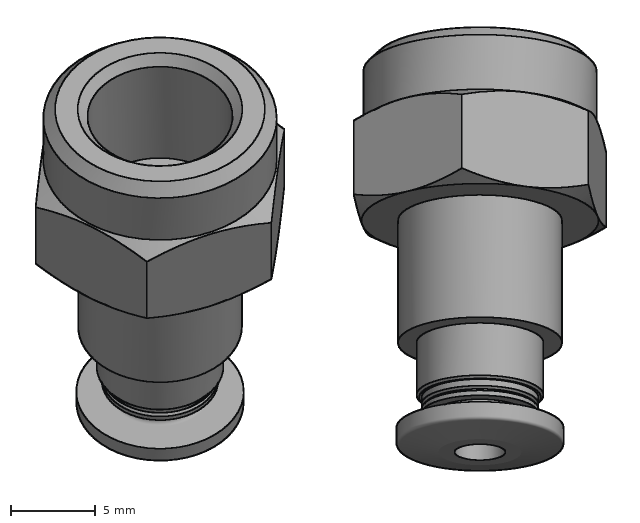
import cadquery as cq
import math

total_height = 24.4
hex_top = 20.3
hex_bottom = 14.4
body_bottom = 6.8
neck_bottom = 3.55
upper_ring_bottom = 3.0
lower_ring_top = 2.7
lower_ring_bottom = 2.4
head_top = 1.5

hex_sides = 6
hex_across_flats = 14.0
collar_diameter = 13.8
body_diameter = 9.7
neck_diameter = 7.5
ring_diameter = 6.9
stem_diameter = 5.4
head_diameter = 9.9
head_face_diameter = 4.9

collar_chamfer = 0.7
neck_chamfer = 0.15
stem_fillet = 0.3
head_edge_fillet = 0.2
head_cone_angle = math.radians(10)
hex_chamfer_angle = math.radians(30)

socket_diameter = 8.57
socket_mouth_diameter = 9.73
socket_depth = 8.0
passage_diameter = 3.0
passage_mouth_diameter = 4.0


def revolve_outline(outline):
    """Turn a closed radius-height outline about the Z axis."""
    return outline.close().revolve(360, (0, 0, 0), (0, 1, 0))


def make_collar():
    height = total_height - hex_top
    collar = cq.Workplane("XY").workplane(offset=hex_top).circle(collar_diameter / 2).extrude(height)
    return collar.faces(">Z").chamfer(collar_chamfer)


def make_hexagon():
    """Hexagon with corners on X, its corners bevelled by a cone at each end."""
    flat_radius = hex_across_flats / 2
    corner_radius = flat_radius / math.cos(math.pi / hex_sides)
    top_radius = collar_diameter / 2
    bottom_radius = flat_radius
    top_drop = (corner_radius - top_radius) * math.tan(hex_chamfer_angle)
    bottom_rise = (corner_radius - bottom_radius) * math.tan(hex_chamfer_angle)

    prism = (
        cq.Workplane("XY")
        .workplane(offset=hex_bottom)
        .polygon(hex_sides, 2 * corner_radius)
        .extrude(hex_top - hex_bottom)
    )
    envelope = revolve_outline(
        cq.Workplane("XZ")
        .moveTo(0, hex_bottom)
        .lineTo(bottom_radius, hex_bottom)
        .lineTo(corner_radius, hex_bottom + bottom_rise)
        .lineTo(corner_radius, hex_top - top_drop)
        .lineTo(top_radius, hex_top)
        .lineTo(0, hex_top)
    )
    return prism.intersect(envelope)


def make_body():
    return (
        cq.Workplane("XY")
        .workplane(offset=body_bottom)
        .circle(body_diameter / 2)
        .extrude(hex_bottom - body_bottom)
    )


def make_neck():
    """Bevelled neck, two thin rings with a 45 degree V-groove between them, and the slimmer stem."""
    neck_radius = neck_diameter / 2
    ring_radius = ring_diameter / 2
    groove_depth = (upper_ring_bottom - lower_ring_top) / 2
    groove_height = (upper_ring_bottom + lower_ring_top) / 2
    stem_radius = stem_diameter / 2
    arc_middle = stem_fillet * (1 - math.sqrt(0.5))

    return revolve_outline(
        cq.Workplane("XZ")
        .moveTo(0, body_bottom)
        .lineTo(neck_radius, body_bottom)
        .lineTo(neck_radius, neck_bottom)
        .lineTo(neck_radius - neck_chamfer, neck_bottom - neck_chamfer)
        .lineTo(ring_radius, neck_bottom - neck_chamfer)
        .lineTo(ring_radius, upper_ring_bottom)
        .lineTo(ring_radius - groove_depth, groove_height)
        .lineTo(ring_radius, lower_ring_top)
        .lineTo(ring_radius, lower_ring_bottom)
        .lineTo(stem_radius, lower_ring_bottom)
        .lineTo(stem_radius, head_top + stem_fillet)
        .threePointArc(
            (stem_radius + arc_middle, head_top + arc_middle),
            (stem_radius + stem_fillet, head_top),
        )
        .lineTo(0, head_top)
    )


def make_head():
    """Flat round head with a shallow conical underside and a rounded lower edge."""
    head_radius = head_diameter / 2
    face_radius = head_face_diameter / 2
    cone_height = (head_radius - face_radius) * math.tan(head_cone_angle)

    arc_sweep = math.pi / 2 - head_cone_angle
    arc_center_radius = head_radius - head_edge_fillet
    arc_center_height = cone_height + head_edge_fillet * math.tan(arc_sweep / 2)

    def arc_point(angle_below_side):
        return (
            arc_center_radius + head_edge_fillet * math.cos(angle_below_side),
            arc_center_height - head_edge_fillet * math.sin(angle_below_side),
        )

    return revolve_outline(
        cq.Workplane("XZ")
        .lineTo(face_radius, 0)
        .lineTo(*arc_point(arc_sweep))
        .threePointArc(arc_point(arc_sweep / 2), arc_point(0))
        .lineTo(head_radius, head_top)
        .lineTo(0, head_top)
    )


def make_bore():
    """Socket open at the top, leading to a countersunk passage through the part."""
    socket_radius = socket_diameter / 2
    socket_mouth_radius = socket_mouth_diameter / 2
    passage_radius = passage_diameter / 2
    passage_mouth_radius = passage_mouth_diameter / 2
    socket_floor = total_height - socket_depth

    return revolve_outline(
        cq.Workplane("XZ")
        .lineTo(passage_radius, 0)
        .lineTo(passage_radius, socket_floor - (passage_mouth_radius - passage_radius))
        .lineTo(passage_mouth_radius, socket_floor)
        .lineTo(socket_radius, socket_floor)
        .lineTo(socket_radius, total_height - (socket_mouth_radius - socket_radius))
        .lineTo(socket_mouth_radius, total_height)
        .lineTo(0, total_height)
    )


outside = make_collar().union(make_hexagon()).union(make_body()).union(make_neck()).union(make_head())
result = outside.cut(make_bore())